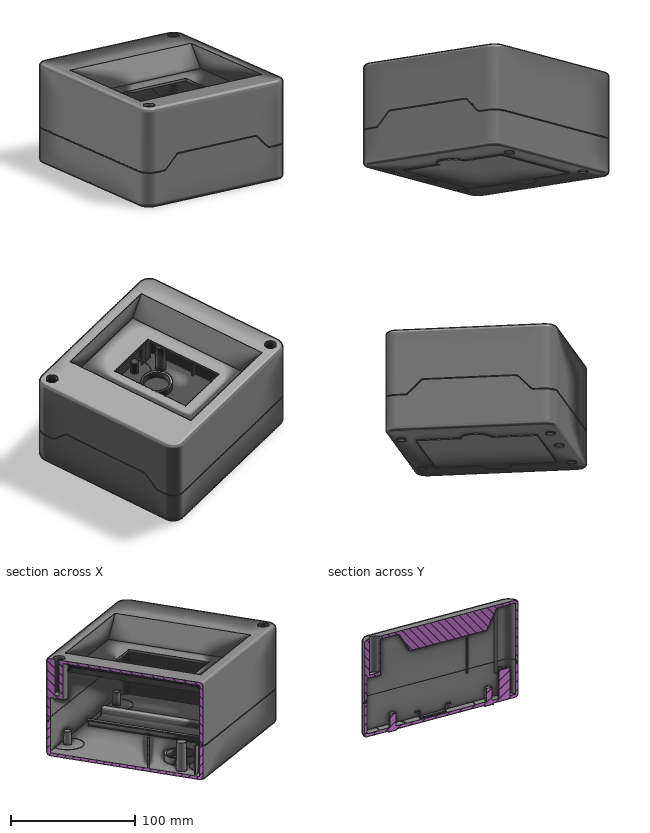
import cadquery as cq


LENGTH = 155.0
WIDTH = 140.0
HEIGHT = 85.0
FOOT_HEIGHT = 1.0
WALL = 3.0
CORNER_RADIUS = 10.0
RIM_RADIUS = 3.1
INNER_X = LENGTH / 2 - WALL
INNER_Y = WIDTH / 2 - WALL
FLOOR_Z = FOOT_HEIGHT + WALL
CEILING_Z = HEIGHT - WALL

SEAM_Z = 30.4
SEAM_STEP = 12.1
SEAM_HALF_TOP = 39.0
SEAM_GAP = 0.5
SEAM_BEND_RADIUS = 3.9
LIP_HEIGHT = 3.0
LIP_THICKNESS = WALL / 2

PANEL_DEPTH = 17.8
PANEL_THICKNESS = 2.0
PANEL_TOP_X = (-42.5, 55.8)
PANEL_FLOOR_X = (-29.3, 43.9)
PANEL_HALF_Y = 59.7
WINDOW_X = (-15.3, 30.7)
WINDOW_HALF_Y = 35.2
PANEL_Z = HEIGHT - PANEL_DEPTH

SCREW_X = 67.5
SCREW_Y = 59.8
SCREW_HOLE_RADIUS = 4.6
SCREW_HOLE_DEPTH = 31.0
SCREW_BOSS_WALL = 2.3
SCREW_BOSS_RADIUS = SCREW_HOLE_RADIUS + SCREW_BOSS_WALL

LID_RIB_X = 29.8
LID_RIB_THICKNESS = 0.6
LID_RIB_DEPTH = 2.2
LID_RIB_BOTTOM_Z = 30.4
PIN_X = 59.0
PIN_RADIUS = 1.2
PIN_BOTTOM_Z = 24.3

FOOT_RADIUS = 4.0
FOOT_X = 48.4
FOOT_Y = 60.9
PAD_HALF_X = 44.6
PAD_HALF_Y = 49.6
PAD_END_RADIUS = 12.7

DRAFT_ANGLE = 1.0
PILLAR_RADIUS = 3.3
PILLAR_TOP_Z = 15.3
PILLAR_PAD_RADIUS = 13.3
PILLAR_PAD_HEIGHT = 0.2
POST_RADIUS = 4.3
POST_X = 64.2
POST_Y = 46.5
POST_TOP_Z = 28.2
RING_X = 44.2
RING_Y = 36.1
RING_RADIUS = 12.7
RING_THICKNESS = 1.9
RING_HEIGHT = 5.9
BRACKET_X = (57.8, 69.5)
BRACKET_Y = 60.5
BRACKET_THICKNESS = 1.0
BRACKET_WEB_X = 63.0
BRACKET_TOP_Z = 28.2
WALL_RIB_DEPTH = 3.1
WALL_RIB_THICKNESS = 1.5
WALL_RIB_Y = 19.8

RAIL_X = -7.6
RAIL_WIDTH = 35.0
RAIL_HEIGHT = 7.5
RAIL_LENGTH = 124.0
RAIL_SHEET = 1.0
RAIL_CHANNEL_HALF = 12.7
RAIL_FLOOR_BEND = 1.2
RAIL_LIP_BEND = 1.0
RAIL_HOLE_RADIUS = 2.2


def box(x0, x1, y0, y1, z0, z1):
    return cq.Workplane("XY").box(x1 - x0, y1 - y0, z1 - z0, centered=False).translate((x0, y0, z0))


def cylinder(x, y, radius, z0, z1, draft=0):
    return cq.Workplane("XY", origin=(x, y, z0)).circle(radius).extrude(z1 - z0, taper=draft)


def rounded_block(inset, z0, z1):
    """Upright block with rounded corners, set in from the outer walls."""
    block = cq.Workplane("XY", origin=(0, 0, z0)).rect(LENGTH - 2 * inset, WIDTH - 2 * inset)
    return block.extrude(z1 - z0).edges("|Z").fillet(CORNER_RADIUS - inset)


def below_seam(raise_by):
    """Everything below the seam after it is moved up by raise_by."""
    low = SEAM_Z + raise_by
    high = low + SEAM_STEP
    half_bottom = SEAM_HALF_TOP + SEAM_STEP
    region = (
        cq.Workplane("YZ", origin=(-LENGTH, 0, 0))
        .polyline([
            (-WIDTH, 0), (-WIDTH, low), (-half_bottom, low), (-SEAM_HALF_TOP, high),
            (SEAM_HALF_TOP, high), (half_bottom, low), (WIDTH, low), (WIDTH, 0),
        ])
        .close()
        .extrude(2 * LENGTH)
    )
    bends = cq.selectors.BoxSelector((-LENGTH, -WIDTH / 2, 0), (LENGTH, WIDTH / 2, HEIGHT))
    return region.edges("|X").edges(bends).fillet(SEAM_BEND_RADIUS)


def make_cavity():
    return rounded_block(WALL, FLOOR_Z, CEILING_Z)


def make_shell():
    outside = rounded_block(0, FOOT_HEIGHT, HEIGHT).faces("<Z or >Z").edges().fillet(RIM_RADIUS)
    return outside.cut(make_cavity())


def make_lip():
    """Upright tongue of the base, half a wall thick, that closes the seam from inside."""
    band = rounded_block(WALL - LIP_THICKNESS, FLOOR_Z, CEILING_Z).cut(make_cavity())
    return band.intersect(below_seam(LIP_HEIGHT))


def panel_block(margin):
    """Tapered block of the recessed panel, grown by margin on its sides and floor."""
    outline = [
        (PANEL_TOP_X[0] - margin, HEIGHT),
        (PANEL_FLOOR_X[0] - margin, PANEL_Z - margin),
        (PANEL_FLOOR_X[1] + margin, PANEL_Z - margin),
        (PANEL_TOP_X[1] + margin, HEIGHT),
    ]
    half_y = PANEL_HALF_Y + margin
    return cq.Workplane("XZ", origin=(0, half_y, 0)).polyline(outline).close().extrude(2 * half_y)


def make_feet():
    feet = box(-PAD_HALF_X, PAD_HALF_X, -PAD_HALF_Y, PAD_HALF_Y, 0, FOOT_HEIGHT)
    for side in (-1, 1):
        feet = feet.union(cylinder(side * PAD_HALF_X, 0, PAD_END_RADIUS, 0, FOOT_HEIGHT))
    foot_places = [(x, y) for x in (-FOOT_X, FOOT_X) for y in (-FOOT_Y, FOOT_Y)] + [(RAIL_X, -FOOT_Y)]
    for x, y in foot_places:
        feet = feet.union(cylinder(x, y, FOOT_RADIUS, 0, FOOT_HEIGHT))
    return feet


def make_bracket():
    """Plate along X with a web that joins it to the +Y wall."""
    plate = box(*BRACKET_X, BRACKET_Y, BRACKET_Y + BRACKET_THICKNESS, FLOOR_Z, BRACKET_TOP_Z)
    web = box(BRACKET_WEB_X, BRACKET_WEB_X + BRACKET_THICKNESS, BRACKET_Y, INNER_Y, FLOOR_Z, BRACKET_TOP_Z)
    return plate.union(web)


def make_ring():
    ring = cylinder(RING_X, RING_Y, RING_RADIUS, FLOOR_Z, FLOOR_Z + RING_HEIGHT)
    return ring.cut(cylinder(RING_X, RING_Y, RING_RADIUS - RING_THICKNESS, FLOOR_Z, FLOOR_Z + RING_HEIGHT))


def make_base():
    base = make_shell().intersect(below_seam(0)).union(make_lip()).union(make_feet())
    for x in (-FOOT_X, FOOT_X):
        for y in (-FOOT_Y, FOOT_Y):
            pad = cylinder(x, y, PILLAR_PAD_RADIUS, FLOOR_Z, FLOOR_Z + PILLAR_PAD_HEIGHT)
            base = base.union(pad.intersect(make_cavity()))
            base = base.union(cylinder(x, y, PILLAR_RADIUS, FLOOR_Z, PILLAR_TOP_Z, DRAFT_ANGLE))
    base = base.union(cylinder(POST_X, POST_Y, POST_RADIUS, FLOOR_Z, POST_TOP_Z, DRAFT_ANGLE))
    base = base.union(make_ring())
    base = base.union(make_bracket())
    return base.union(box(
        INNER_X - WALL_RIB_DEPTH, INNER_X,
        WALL_RIB_Y, WALL_RIB_Y + WALL_RIB_THICKNESS,
        FLOOR_Z, SEAM_Z,
    ))


def make_lid():
    lid = make_shell().cut(below_seam(SEAM_GAP))
    lid = lid.union(panel_block(PANEL_THICKNESS)).cut(panel_block(0))
    lid = lid.cut(box(*WINDOW_X, -WINDOW_HALF_Y, WINDOW_HALF_Y, PANEL_Z - PANEL_THICKNESS, PANEL_Z))

    boss_bottom = HEIGHT - SCREW_HOLE_DEPTH - WALL
    for side in (-1, 1):
        boss = cylinder(side * SCREW_X, -side * SCREW_Y, SCREW_BOSS_RADIUS, boss_bottom, CEILING_Z)
        hole = cylinder(side * SCREW_X, -side * SCREW_Y, SCREW_HOLE_RADIUS, HEIGHT - SCREW_HOLE_DEPTH, HEIGHT)
        lid = lid.union(boss).cut(hole)

    rib = box(
        LID_RIB_X, LID_RIB_X + LID_RIB_THICKNESS,
        INNER_Y - LID_RIB_DEPTH, INNER_Y,
        LID_RIB_BOTTOM_Z, CEILING_Z,
    )
    pin = cylinder(PIN_X, INNER_Y - PIN_RADIUS / 2, PIN_RADIUS, PIN_BOTTOM_Z, CEILING_Z)
    lid = lid.union(rib).union(pin.intersect(make_cavity()))
    return lid.cut(make_lip())


def make_rail():
    """Bent sheet: a channel floor, two walls and two outward lips."""
    inner = RAIL_CHANNEL_HALF
    outer = inner + RAIL_SHEET
    lip = RAIL_WIDTH / 2
    top = RAIL_HEIGHT
    under_lip = top - RAIL_SHEET
    rail = (
        cq.Workplane("XZ", origin=(RAIL_X, RAIL_LENGTH / 2, FLOOR_Z))
        .polyline([
            (-lip, top), (-inner, top), (-inner, RAIL_SHEET), (inner, RAIL_SHEET), (inner, top), (lip, top),
            (lip, under_lip), (outer, under_lip), (outer, 0),
            (-outer, 0), (-outer, under_lip), (-lip, under_lip),
        ])
        .close()
        .extrude(RAIL_LENGTH)
    )

    def bend(shape, x, z, radius):
        """Round the pair of lengthwise edges at distance x from the rail's middle and height z."""
        for side in (-1, 1):
            edge = cq.selectors.NearestToPointSelector((RAIL_X + side * x, 0, FLOOR_Z + z))
            shape = shape.edges("|Y").edges(edge).fillet(radius)
        return shape

    rail = bend(rail, inner, RAIL_SHEET, RAIL_FLOOR_BEND)
    rail = bend(rail, outer, 0, RAIL_FLOOR_BEND + RAIL_SHEET)
    rail = bend(rail, outer, under_lip, RAIL_LIP_BEND)
    rail = bend(rail, inner, top, RAIL_LIP_BEND + RAIL_SHEET)
    return rail.cut(cylinder(RAIL_X, 0, RAIL_HOLE_RADIUS, FLOOR_Z, FLOOR_Z + RAIL_HEIGHT))


base = make_base()
lid = make_lid()
rail = make_rail()

result = cq.Compound.makeCompound([base.solids().val(), lid.solids().val(), rail.solids().val()])